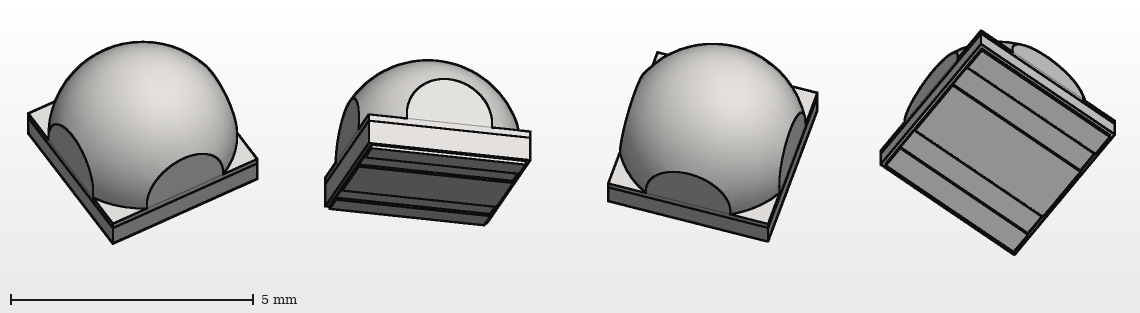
import cadquery as cq

package_width = 3.45

pad_height = 0.08
strip_height = 0.03
substrate_height = 0.5
lens_base_height = 0.14
substrate_bottom = pad_height
lens_bottom = substrate_bottom + substrate_height
dome_bottom = lens_bottom + lens_base_height

dome_radius = 1.95
flat_draft_angle = 3.0

side_pad_width = 0.5
strip_width = 0.5
centre_pad_width = 1.3
pad_length = 2 * side_pad_width + 2 * strip_width + centre_pad_width
strip_offset = (centre_pad_width + strip_width) / 2
side_pad_offset = centre_pad_width / 2 + strip_width + side_pad_width / 2


def block(size_x, size_y, height, bottom, centre_x=0.0):
    """Rectangular block centred on Y = 0 that stands on the given level."""
    return (
        cq.Workplane("XY", origin=(centre_x, 0, bottom))
        .rect(size_x, size_y)
        .extrude(height)
    )


def make_substrate():
    return block(package_width, package_width, substrate_height, substrate_bottom)


def make_dome():
    """Hemisphere trimmed by four drafted flats that start at the package sides."""
    half_sphere = (
        cq.Workplane("XZ", origin=(0, 0, dome_bottom))
        .moveTo(0, 0)
        .lineTo(dome_radius, 0)
        .radiusArc((0, dome_radius), -dome_radius)
        .close()
        .revolve(360, (0, 0), (0, 1))
    )
    trimming_block = (
        cq.Workplane("XY", origin=(0, 0, dome_bottom))
        .rect(package_width, package_width)
        .extrude(dome_radius, taper=flat_draft_angle)
    )
    return half_sphere.intersect(trimming_block)


def make_lens():
    """One-piece lens: a thin square base layer with the dome on top."""
    base = block(package_width, package_width, lens_base_height, lens_bottom)
    return base.union(make_dome())


def make_pad(width, centre_x):
    """Solder pad that reaches from the ground plane up to the substrate."""
    return block(width, pad_length, pad_height, 0, centre_x)


def make_strip(centre_x):
    """Thin strip on the substrate's underside that fills the gap between two pads."""
    return block(strip_width, pad_length, strip_height, substrate_bottom - strip_height, centre_x)


substrate = make_substrate()
lens = make_lens()
centre_pad = make_pad(centre_pad_width, 0)
side_pads = [make_pad(side_pad_width, side * side_pad_offset) for side in (-1, 1)]
strips = [make_strip(side * strip_offset) for side in (-1, 1)]

result = cq.Compound.makeCompound([
    substrate.val(),
    lens.val(),
    centre_pad.val(),
    *[pad.val() for pad in side_pads],
    *[strip.val() for strip in strips],
])